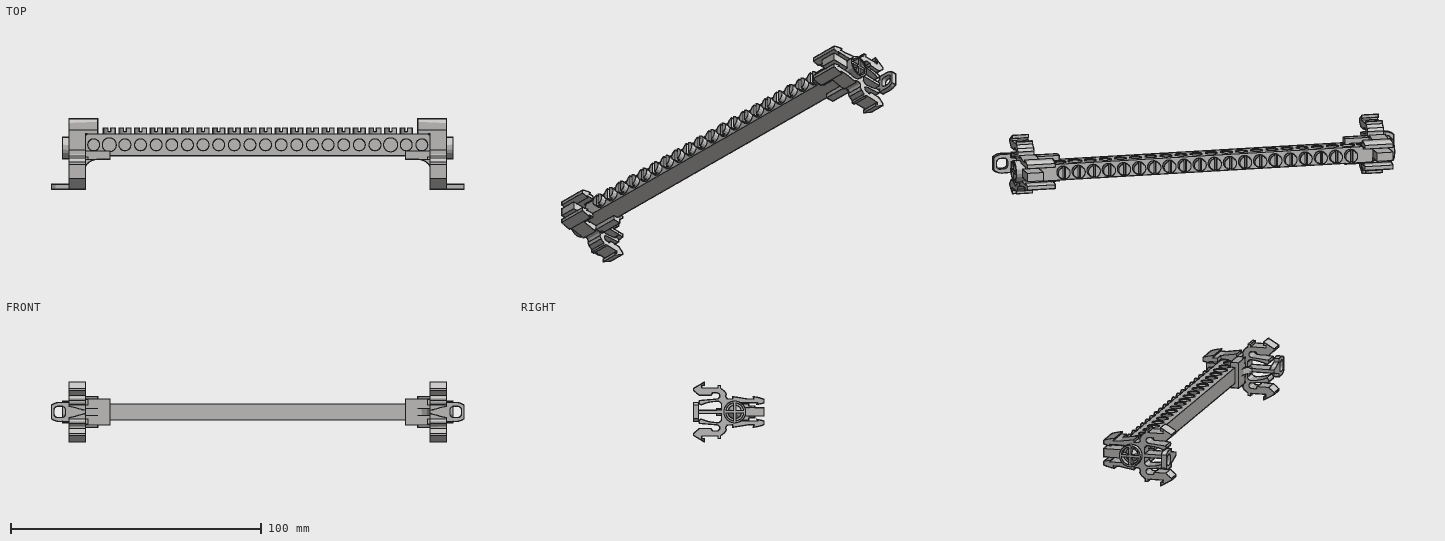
import cadquery as cq
import math

total_length = 164.88
back_y = 11.7
front_y = -16.5
half_height = 12.0
clip_outer_x = 75.45
clip_width = 6.7
clip_inner_x = clip_outer_x - clip_width

bar_half_length = 69.0
bar_back_y = 5.65
bar_front_y = -3.15
bar_thickness = 6.5
bar_corner_radius = 1.5

hole_count = 22
hole_pitch = 6.24
hole_y = 1.25
hole_depth = 0.4
small_hole_diameter = 4.75
large_hole_diameter = 5.6
large_hole_indices = (1, 19)
screw_diameter = 4.9
screw_height = 2.4
screw_slot_width = 1.0
screw_slot_depth = 1.5

socket_inner_x = 58.9
socket_back_y = -1.15
socket_front_y = -4.6
socket_height = 10.5
notch_length = 0.9
notch_depth = 1.0
notch_low_z = 2.8
notch_high_z = 4.9
gusset_inner_x = 64.0
gusset_front_y = -7.3
gusset_thickness = 2.7

rear_inner_x = 63.85
post_half_height = 1.7
post_root_y = 3.5
arm_inner_z = 3.6

hub_outer_x = 78.0
hub_diameter = 8.7
hub_wall = 0.75
hub_web = 1.0
hub_pocket_depth = 3.0
hub_cone_diameter = 5.4
hub_cone_height = 2.2
hub_cone_taper = 40

stem_half_height = 0.7
body_front_y = -5.3
tab_thickness = 2.1
tab_back_y = front_y + tab_thickness
tab_half_height = 3.8
eye_x = 79.05
eye_width = 4.6
eye_height = 4.4
eye_corner_radius = 1.5


def mirrored_z(solid):
    """The solid together with its mirror image across Z = 0."""
    return solid.union(solid.mirror("XY"))


def box_between(x_range, y_range, z_range):
    """Axis-aligned box between the given limits."""
    size = [high - low for low, high in (x_range, y_range, z_range)]
    low_corner = (x_range[0], y_range[0], z_range[0])
    return cq.Workplane("XY").box(*size, centered=False).translate(low_corner)


def terminal_bar():
    """Rectangular bar with rounded rear corners, shallow wire holes and screws."""
    half_thickness = bar_thickness / 2
    bar = box_between(
        (-bar_half_length, bar_half_length),
        (bar_front_y, bar_back_y),
        (-half_thickness, half_thickness),
    )
    bar = bar.edges("|Z and >Y").fillet(bar_corner_radius)
    first_hole_x = -hole_pitch * (hole_count - 1) / 2
    for index in range(hole_count):
        x = first_hole_x + index * hole_pitch
        is_large = index in large_hole_indices
        diameter = large_hole_diameter if is_large else small_hole_diameter
        hole = (
            cq.Workplane("XY", origin=(x, hole_y, half_thickness - hole_depth))
            .circle(diameter / 2)
            .extrude(hole_depth)
        )
        bar = bar.cut(hole)
        if 0 < index < hole_count - 1:
            bar = bar.union(clamping_screw(x))
    return bar


def clamping_screw(x):
    """Slotted screw head standing on the rear face of the bar."""
    top_y = bar_back_y + screw_height
    head = (
        cq.Workplane("XZ", origin=(x, top_y, 0))
        .circle(screw_diameter / 2)
        .extrude(screw_height)
    )
    slot = box_between(
        (x - screw_slot_width / 2, x + screw_slot_width / 2),
        (top_y - screw_slot_depth, top_y),
        (-screw_diameter, screw_diameter),
    )
    return head.cut(slot)


def clip_half_profile():
    """Upper half of the clip section (Y, Z): rear arm, body, snap leg and prong."""
    hub_radius = hub_diameter / 2
    body_arc_angle = math.asin(arm_inner_z / hub_radius)
    body_arc_middle = (
        hub_radius * math.cos(body_arc_angle / 2),
        hub_radius * math.sin(body_arc_angle / 2),
    )
    body_arc_end = (hub_radius * math.cos(body_arc_angle), arm_inner_z)
    return (
        cq.Workplane("YZ")
        .moveTo(hub_radius, 0)
        .threePointArc(body_arc_middle, body_arc_end)
        .lineTo(9.2, arm_inner_z)
        .lineTo(8.7, 2.9)
        .lineTo(10.6, 3.3)
        .lineTo(back_y, arm_inner_z)
        .lineTo(back_y, 5.1)
        .threePointArc((9.6, 5.75), (7.2, 6.2))
        .lineTo(7.7, 5.2)
        .lineTo(5.2, 5.2)
        .lineTo(-0.9, 6.2)
        .lineTo(-0.9, 5.2)
        .lineTo(-2.6, 5.2)
        .threePointArc((-3.4, 5.8), (-3.3, 7.1))
        .lineTo(-4.0, 8.3)
        .lineTo(-5.6, 9.5)
        .lineTo(-5.6, 10.6)
        .lineTo(-6.7, 10.6)
        .lineTo(-6.7, 9.6)
        .lineTo(-13.1, 9.6)
        .lineTo(-13.1, 10.6)
        .lineTo(-12.1, 10.6)
        .lineTo(-12.1, half_height)
        .lineTo(front_y, 9.4)
        .lineTo(front_y, 8.6)
        .lineTo(-14.2, 6.6)
        .lineTo(-9.4, 6.6)
        .lineTo(-8.9, 7.6)
        .lineTo(-7.2, 7.6)
        .threePointArc((-6.0, 6.4), (-7.2, 5.2))
        .lineTo(-14.1, 4.6)
        .threePointArc((-14.25, 3.6), (-13.4, 2.8))
        .threePointArc((-11.2, 3.6), (-7.5, 4.2))
        .threePointArc((-5.9, 3.9), (body_front_y, 3.0))
        .lineTo(body_front_y, 0)
        .close()
    )


def clip_section():
    """Snap clip of constant width, with the rear arms carried further inwards."""
    section = clip_half_profile().extrude(clip_width).translate((clip_inner_x, 0, 0))
    extension_length = clip_outer_x - rear_inner_x
    extension = clip_half_profile().extrude(extension_length).translate((rear_inner_x, 0, 0))
    behind_bar = box_between(
        (rear_inner_x, clip_outer_x),
        (bar_back_y, back_y),
        (0, half_height),
    )
    clip = mirrored_z(section.union(extension.intersect(behind_bar)))
    post = box_between(
        (clip_inner_x, clip_outer_x),
        (post_root_y, back_y),
        (-post_half_height, post_half_height),
    )
    stem = box_between(
        (clip_inner_x, clip_outer_x),
        (tab_back_y, body_front_y),
        (-stem_half_height, stem_half_height),
    )
    return clip.union(post).union(stem)


def socket():
    """Block under the bar end, notched beside the clip and braced by a gusset."""
    half_socket = socket_height / 2
    block = box_between(
        (socket_inner_x, clip_inner_x),
        (socket_front_y, socket_back_y),
        (-half_socket, half_socket),
    )
    notch = box_between(
        (clip_inner_x - notch_length, clip_inner_x),
        (socket_front_y, socket_front_y + notch_depth),
        (notch_low_z, notch_high_z),
    )
    gusset_run = clip_inner_x - gusset_inner_x
    gusset_drop = socket_front_y - gusset_front_y
    gusset_radius = (gusset_run**2 + gusset_drop**2) / (2 * gusset_drop)
    half_angle = math.asin(gusset_run / gusset_radius) / 2
    gusset_arc_middle = (
        gusset_inner_x + gusset_radius * math.sin(half_angle),
        socket_front_y - gusset_radius * (1 - math.cos(half_angle)),
    )
    gusset = (
        cq.Workplane("XY", origin=(0, 0, -gusset_thickness / 2))
        .moveTo(gusset_inner_x, socket_front_y)
        .lineTo(clip_inner_x, socket_front_y)
        .lineTo(clip_inner_x, gusset_front_y)
        .threePointArc(gusset_arc_middle, (gusset_inner_x, socket_front_y))
        .close()
        .extrude(gusset_thickness)
    )
    return block.cut(mirrored_z(notch)).union(gusset)


def add_hub(clip):
    """Add the hub with four pockets between crossed webs, around a blunt cone."""
    hub_length = hub_outer_x - clip_outer_x
    hub = (
        cq.Workplane("YZ", origin=(clip_outer_x, 0, 0))
        .circle(hub_diameter / 2)
        .extrude(hub_length)
    )
    pocket = (
        cq.Workplane("YZ", origin=(hub_outer_x - hub_pocket_depth, 0, 0))
        .circle(hub_diameter / 2 - hub_wall)
        .extrude(hub_pocket_depth)
    )
    x_range = (clip_inner_x, hub_outer_x)
    web_range = (-hub_web / 2, hub_web / 2)
    span_range = (-hub_diameter / 2, hub_diameter / 2)
    webs = box_between(x_range, web_range, span_range)
    webs = webs.union(box_between(x_range, span_range, web_range))
    cone = (
        cq.Workplane("YZ", origin=(hub_outer_x - hub_pocket_depth, 0, 0))
        .circle(hub_cone_diameter / 2)
        .extrude(hub_cone_height, taper=hub_cone_taper)
    )
    return clip.union(hub).cut(pocket.cut(webs).cut(cone))


def eye_tab():
    """Flat tab with a rounded eye, tapering into the clip stem."""
    tab = (
        cq.Workplane("XZ", origin=(0, tab_back_y, 0))
        .moveTo(clip_inner_x, 0)
        .lineTo(clip_inner_x, stem_half_height)
        .lineTo(71.5, 1.3)
        .lineTo(73.0, 1.8)
        .lineTo(clip_outer_x, 2.3)
        .lineTo(clip_outer_x, tab_half_height)
        .lineTo(78.0, tab_half_height)
        .threePointArc((81.0, 3.5), (total_length / 2, 2.7))
        .lineTo(total_length / 2, 0)
        .close()
        .extrude(tab_thickness)
    )
    eye = (
        cq.Workplane("XZ", origin=(eye_x, tab_back_y, 0))
        .rect(eye_width, eye_height)
        .extrude(tab_thickness)
        .edges("|Y")
        .fillet(eye_corner_radius)
    )
    return mirrored_z(tab).cut(eye)


def end_clip():
    """Complete holder for the +X end of the bar."""
    return add_hub(clip_section()).union(socket()).union(eye_tab())


right_clip = end_clip()
left_clip = right_clip.mirror("YZ")
result = terminal_bar().union(right_clip).union(left_clip)